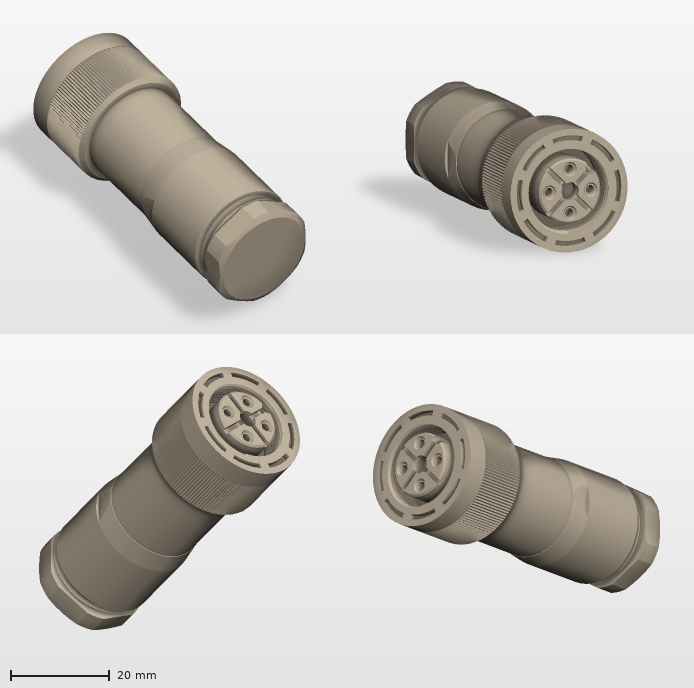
import cadquery as cq
import math

total_length = 64.4
ring_front = 0.65
knurl_start = 5.55
ring_end = 17.5
taper_start = 36.1
taper_end = 40.75
body_end = 56.3
nut_front = 59.4

tooth_sink = 0.05
tooth_half_width_ratio = 0.49

ring_radius = 12.75
ring_end_radius = 11.7
ring_bevel = 1.0
knurl_teeth = 132

pocket_count = 8
pocket_inner_radius = 10.4
pocket_outer_radius = 11.4
pocket_span = 34
pocket_turn = -1.5
pocket_depth = 1.3

socket_end = 7.7
socket_radius = 8.55
socket_thread_depth = 0.45
socket_thread_pitch = 1.0
socket_thread_start = 0.5

insert_radius = 6.7
insert_chamfer = 0.4
hub_radius = 1.85
hub_depth = 3.2
cross_slot_width = 1.1
cross_slot_depth = 1.0
keyway_radius = 1.3
keyway_offset = 6.6
keyway_depth = 2.6

contact_count = 4
contact_circle_radius = 4.5
contact_mouth_radius = 1.5
contact_seat_radius = 1.15
contact_bore_radius = 0.9
contact_seat_depth = 0.5
contact_depth = 3.2

neck_radius = 10.45
taper_radius = 10.55
body_radius = 11.2
body_chamfer = 0.2

thread_root_radius = 9.45
thread_depth = 0.65
thread_pitch = 1.5
thread_start = 54.1

nut_across_flats = 21.1
nut_radius = 11.3
nut_chamfer_length = 0.8
nut_chamfer_height = 1.3


def across_x(x):
    """Work plane across the axis: local x is Y, local y is Z, normal is +X."""
    return cq.Workplane("YZ", origin=(x, 0, 0))


def cylinder(start, end, radius):
    return across_x(start).circle(radius).extrude(end - start)


def revolved(profile):
    """Turn a closed (x, radius) profile around the X axis."""
    return cq.Workplane("XY").polyline(profile).close().revolve(360, (0, 0, 0), (1, 0, 0))


def helical_tooth(start, length, root_radius, depth, pitch):
    """Right-handed V tooth along X, with its base sunk just inside the root cylinder."""
    base_radius = root_radius - tooth_sink
    half_width = tooth_half_width_ratio * pitch
    path = cq.Wire.makeHelix(pitch, length, root_radius)
    section = (
        cq.Workplane("XZ")
        .moveTo(base_radius, -half_width)
        .lineTo(root_radius + depth, 0)
        .lineTo(base_radius, half_width)
        .close()
    )
    tooth = section.sweep(cq.Workplane(path), isFrenet=True)
    return tooth.rotate((0, 0, 0), (0, 1, 0), 90).translate((start, 0, 0))


def coupling_ring():
    tooth_angle = 2 * math.pi / knurl_teeth
    tooth_root_radius = ring_radius * (1 - tooth_angle / 2)
    outline = []
    for tooth in range(knurl_teeth):
        for radius, step in ((ring_radius, 0), (tooth_root_radius, 0.5)):
            angle = (tooth + step) * tooth_angle
            outline.append((radius * math.cos(angle), radius * math.sin(angle)))
    knurl = across_x(knurl_start).polyline(outline).close().extrude(ring_end - knurl_start)
    envelope = revolved([
        (knurl_start, 0),
        (knurl_start, ring_radius),
        (ring_end - ring_bevel, ring_radius),
        (ring_end, ring_end_radius),
        (ring_end, 0),
    ])
    return cylinder(ring_front, knurl_start, ring_radius).union(knurl.intersect(envelope))


def face_pockets():
    half_span = math.radians(pocket_span / 2)

    def point(radius, angle):
        return (radius * math.cos(angle), radius * math.sin(angle))

    pocket = (
        across_x(ring_front)
        .moveTo(*point(pocket_inner_radius, -half_span))
        .lineTo(*point(pocket_outer_radius, -half_span))
        .threePointArc((pocket_outer_radius, 0), point(pocket_outer_radius, half_span))
        .lineTo(*point(pocket_inner_radius, half_span))
        .threePointArc((pocket_inner_radius, 0), point(pocket_inner_radius, -half_span))
        .close()
        .extrude(pocket_depth)
    )
    pockets = cq.Workplane("XY")
    for index in range(pocket_count):
        angle = pocket_turn + index * 360 / pocket_count
        pockets = pockets.add(pocket.rotate((0, 0, 0), (1, 0, 0), angle))
    return pockets.combine()


def socket():
    bore = cylinder(ring_front, socket_end, socket_radius)
    thread_length = socket_end - socket_thread_start - socket_thread_pitch / 2
    thread = helical_tooth(
        socket_thread_start, thread_length, socket_radius, socket_thread_depth, socket_thread_pitch
    )
    return bore.union(thread)


def contact_insert():
    insert = cylinder(0, socket_end, insert_radius).faces("<X").chamfer(insert_chamfer)
    insert = insert.cut(cylinder(0, hub_depth, hub_radius))

    for angle in (45, 135):
        slot = across_x(0).rect(2 * ring_radius, cross_slot_width).extrude(cross_slot_depth)
        insert = insert.cut(slot.rotate((0, 0, 0), (1, 0, 0), angle))

    keyway = across_x(0).center(0, keyway_offset).circle(keyway_radius).extrude(keyway_depth)
    insert = insert.cut(keyway.rotate((0, 0, 0), (1, 0, 0), 45))

    contact = revolved([
        (0, 0),
        (0, contact_mouth_radius),
        (contact_seat_depth, contact_seat_radius),
        (contact_seat_depth, contact_bore_radius),
        (contact_depth, contact_bore_radius),
        (contact_depth, 0),
    ]).translate((0, contact_circle_radius, 0))
    for index in range(contact_count):
        insert = insert.cut(contact.rotate((0, 0, 0), (1, 0, 0), index * 360 / contact_count))
    return insert


def housing():
    neck = cylinder(ring_end, taper_start, neck_radius)
    taper = revolved([
        (taper_start, 0),
        (taper_start, taper_radius),
        (taper_end, body_radius),
        (taper_end, 0),
    ])
    flats = across_x(taper_start).rect(2 * taper_radius, 3 * body_radius).extrude(taper_end - taper_start)
    body = cylinder(taper_end, body_end, body_radius).faces(">X").chamfer(body_chamfer)
    return neck.union(taper.intersect(flats)).union(body)


def threaded_neck():
    core = cylinder(thread_start - 2 * thread_pitch, nut_front + 3 * thread_pitch, thread_root_radius)
    thread_length = nut_front + thread_pitch - thread_start
    thread = helical_tooth(thread_start, thread_length, thread_root_radius, thread_depth, thread_pitch)
    return core.union(thread)


def gland_nut():
    across_corners = nut_across_flats / math.cos(math.pi / 6)
    hexagon = (
        across_x(nut_front)
        .transformed(rotate=(0, 0, 90))
        .polygon(6, across_corners)
        .extrude(total_length - nut_front)
    )
    envelope = revolved([
        (nut_front, 0),
        (nut_front, nut_radius),
        (total_length - nut_chamfer_length, nut_radius),
        (total_length, nut_radius - nut_chamfer_height),
        (total_length, 0),
    ])
    return hexagon.intersect(envelope)


result = (
    coupling_ring()
    .cut(face_pockets())
    .cut(socket())
    .union(contact_insert())
    .union(housing())
    .union(threaded_neck())
    .union(gland_nut())
)